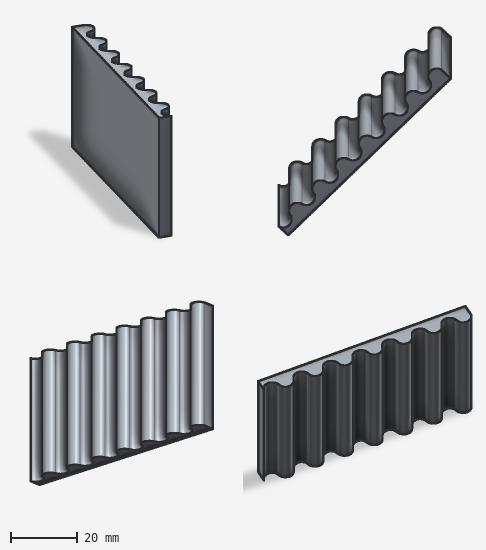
import cadquery as cq

length = 70.0
height = 40.0
thickness = 6.0
wave_count = 7
wave_depth = 4.0

arc_width = length / wave_count / 2
arc_rise = wave_depth / 2
mid_level = thickness - arc_rise


def corrugated_profile():
    """Closed XY outline: flat front at Y = 0 and a row of arcs at the back."""
    profile = cq.Workplane("XY").lineTo(0, mid_level)
    for i in range(2 * wave_count):
        start = i * arc_width
        rise = arc_rise if i % 2 == 0 else -arc_rise
        profile = profile.threePointArc(
            (start + arc_width / 2, mid_level + rise),
            (start + arc_width, mid_level),
        )
    return profile.lineTo(length, 0).close()


result = corrugated_profile().extrude(height)